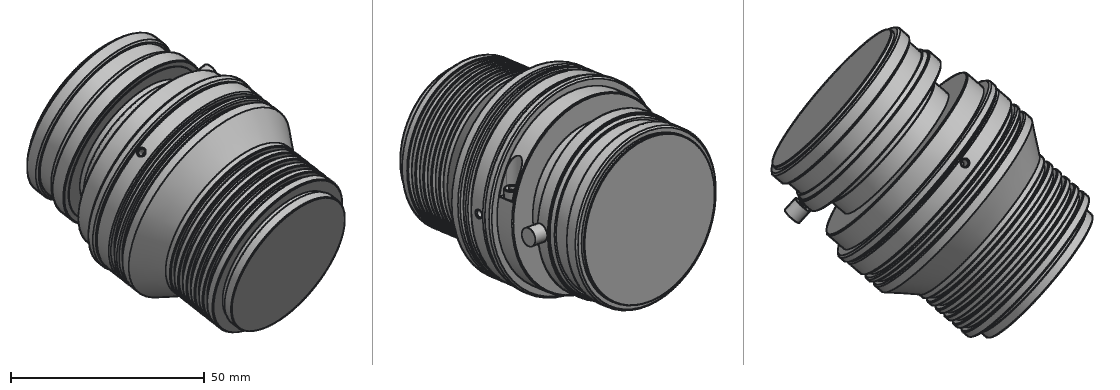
import cadquery as cq
import math


lip_radius = 23.35
collar_start = 1.0
collar_end = 5.2
collar_radius = 25.1
collar_chamfer = 0.5

waist_radius = 24.05
shoulder_start = 9.8
shoulder_start_radius = 24.65
shoulder_end_radius = 25.0

clamp_start = 11.1
clamp_end = 15.4
clamp_radius = 25.6
clamp_chamfer = 0.25
clamp_lip_end = 15.65
clamp_lip_radius = 23.9

neck_step = 17.5
neck_front_radius = 19.95
neck_rear_radius = 20.45

drum_start = 22.4
drum_radius = 27.6
drum_chamfer = 0.3

flange_start = 28.25
flange_end = 30.85
flange_radius = 30.0
flange_chamfer = 0.5
relief_radius = 28.9

grip_radius = 29.65
grip_chamfer = 0.4
grip_start = 31.1
grip_end = 36.2
grip_groove_radius = 28.1
grip_fin_start = 37.5
grip_fin_end = 39.15
rear_land_start = 40.4
cone_start = 43.1

fin_count = 6
fin_start = 50.85
fin_pitch = 2.98
fin_width = 1.7
fin_radius = 23.9
fin_groove_radius = 22.45
fin_chamfer = 0.25
fins_end = 68.1

spigot_step = 69.4
spigot_front_radius = 20.4
spigot_rear_radius = 20.95
lens_length = 71.9
edge_chamfer = 0.2

set_screw_count = 3
set_screw_first_angle = 30
set_screw_x = 33.0
set_screw_radius = 1.25
set_screw_length = 5.0
set_screw_top = math.sqrt(grip_radius ** 2 - set_screw_radius ** 2)
set_screw_socket_radius = 0.95
set_screw_socket_depth = 3.5
set_screw_lead_in_angle = 90

thumb_x = 13.35
thumb_head_radius = 2.55
thumb_head_bottom = 26.3
thumb_top = 30.5
thumb_shank_radius = 1.25
thumb_shank_bottom = 22.0

lock_x = 25.6
lock_y = 24.5
lock_floor = 5.7
lock_pocket_radius = 2.4
lock_head_radius = 2.3
lock_head_height = 2.5
lock_head_chamfer = 0.25
lock_socket_radius = 1.1
lock_socket_depth = 1.2
lock_shank_radius = 1.25
lock_shank_length = 6.0

UP = (0, 0, 1)
OUTWARD = (0, 1, 0)


def land(start, end, radius, front_chamfer=0.0, rear_chamfer=0.0):
    """Outline points of one cylindrical step, from front to rear."""
    points = [(start, radius - front_chamfer)]
    if front_chamfer:
        points.append((start + front_chamfer, radius))
    if rear_chamfer:
        points.append((end - rear_chamfer, radius))
    points.append((end, radius - rear_chamfer))
    return points


def housing_outline():
    """Half section of the housing, from the front centre to the rear centre."""
    points = [(0, 0)]
    points += land(0, collar_start, lip_radius, edge_chamfer)
    points += land(collar_start, collar_end, collar_radius, collar_chamfer, collar_chamfer)
    points += land(collar_end, shoulder_start, waist_radius)
    points += [(shoulder_start, shoulder_start_radius), (clamp_start, shoulder_end_radius)]
    points += land(clamp_start, clamp_end, clamp_radius, clamp_chamfer, clamp_chamfer)
    points += land(clamp_end, clamp_lip_end, clamp_lip_radius)
    points += land(clamp_lip_end, neck_step, neck_front_radius)
    points += land(neck_step, drum_start, neck_rear_radius)
    points += land(drum_start, flange_start, drum_radius, drum_chamfer)
    points += land(flange_start, flange_end, flange_radius, flange_chamfer, flange_chamfer)
    points += land(flange_end, grip_start, relief_radius)
    points += land(grip_start, grip_end, grip_radius, grip_chamfer, grip_chamfer)
    points += land(grip_end, grip_fin_start, grip_groove_radius)
    points += land(grip_fin_start, grip_fin_end, grip_radius, grip_chamfer, grip_chamfer)
    points += land(grip_fin_end, rear_land_start, grip_groove_radius)
    points += land(rear_land_start, cone_start, grip_radius, grip_chamfer)
    for i in range(fin_count):
        start = fin_start + i * fin_pitch
        first = i == 0
        last = i == fin_count - 1
        end = fins_end if last else start + fin_width
        points += land(start, end, fin_radius, 0.0 if first else fin_chamfer, fin_chamfer)
        if not last:
            points += land(end, start + fin_pitch, fin_groove_radius)
    points += land(fins_end, spigot_step, spigot_front_radius)
    points += land(spigot_step, lens_length, spigot_rear_radius, 0.0, edge_chamfer)
    points.append((lens_length, 0))
    return points


def cylinder(base, direction, radius, length):
    solid = cq.Solid.makeCylinder(radius, length, cq.Vector(*base), cq.Vector(*direction))
    return cq.Workplane(solid)


def around_lens(shape, index):
    """Copy of a shape turned about the lens axis to one of the set screw places."""
    angle = set_screw_first_angle + index * 360 / set_screw_count
    return shape.rotate((0, 0, 0), (1, 0, 0), angle)


def set_screw_socket():
    """Round, flat-bottomed socket with a conical lead-in that reaches the rim of the screw."""
    lead_in_width = set_screw_radius - set_screw_socket_radius
    lead_in_depth = lead_in_width / math.tan(math.radians(set_screw_lead_in_angle / 2))
    profile = [
        (0, set_screw_top),
        (set_screw_radius, set_screw_top),
        (set_screw_socket_radius, set_screw_top - lead_in_depth),
        (set_screw_socket_radius, set_screw_top - set_screw_socket_depth),
        (0, set_screw_top - set_screw_socket_depth),
    ]
    socket = cq.Workplane("XZ").polyline(profile).close().revolve(360, (0, 0, 0), (0, 1, 0))
    return socket.translate((set_screw_x, 0, 0))


def lock_pocket():
    """Flat-floored slot with a round inner end, open toward +Y."""
    round_end = cylinder((lock_x, lock_y, lock_floor), UP, lock_pocket_radius, drum_radius)
    mouth = cq.Workplane().box(
        2 * lock_pocket_radius, drum_radius, drum_radius, centered=(True, False, False)
    )
    return round_end.union(mouth.translate((lock_x, lock_y, lock_floor)))


set_screw_bottom = set_screw_top - set_screw_length
set_screw_blank = cylinder((set_screw_x, 0, set_screw_bottom), UP, set_screw_radius, set_screw_length)
set_screw = set_screw_blank.cut(set_screw_socket())
set_screws = [around_lens(set_screw, i) for i in range(set_screw_count)]
set_screw_bore = cylinder((set_screw_x, 0, set_screw_bottom), UP, set_screw_radius, grip_radius)

thumb_shank_length = thumb_head_bottom - thumb_shank_bottom
thumb_shank = cylinder((thumb_x, thumb_shank_bottom, 0), OUTWARD, thumb_shank_radius, thumb_shank_length)
thumb_head_length = thumb_top - thumb_head_bottom
thumb_head = cylinder((thumb_x, thumb_head_bottom, 0), OUTWARD, thumb_head_radius, thumb_head_length)
thumb_screw = thumb_shank.union(thumb_head)

lock_shank_bottom = lock_floor - lock_shank_length
lock_shank = cylinder((lock_x, lock_y, lock_shank_bottom), UP, lock_shank_radius, lock_shank_length)
lock_head = cylinder((lock_x, lock_y, lock_floor), UP, lock_head_radius, lock_head_height)
lock_head = lock_head.faces(">Z").chamfer(lock_head_chamfer)
lock_socket_floor = lock_floor + lock_head_height - lock_socket_depth
lock_socket = cylinder((lock_x, lock_y, lock_socket_floor), UP, lock_socket_radius, lock_socket_depth)
lock_screw = lock_shank.union(lock_head).cut(lock_socket)

housing = cq.Workplane("XY").polyline(housing_outline()).close().revolve(360, (0, 0, 0), (1, 0, 0))
housing = housing.cut(thumb_shank).cut(lock_shank).cut(lock_pocket())
for i in range(set_screw_count):
    housing = housing.cut(around_lens(set_screw_bore, i))

result = cq.Compound.makeCompound(
    [housing.val(), thumb_screw.val(), lock_screw.val(), *[screw.val() for screw in set_screws]]
)